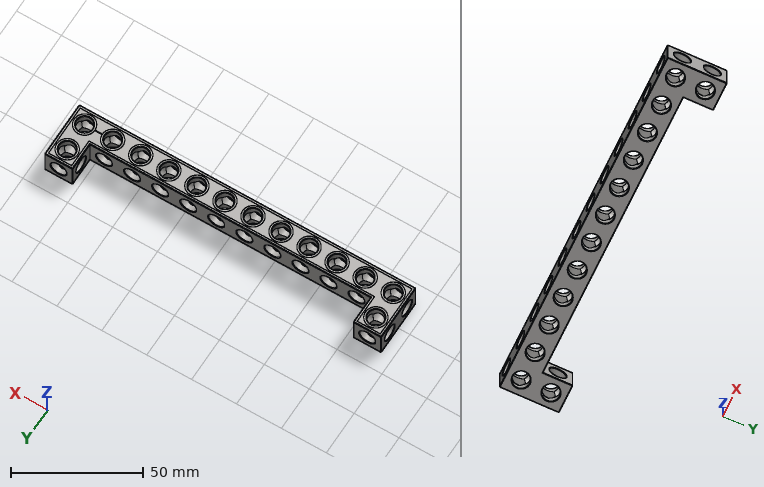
import cadquery as cq

pitch = 12.5
columns = 12
arm_rows = 2
hole_diameter = 7.0

edge_chamfer = 0.3

wall = 1.1
collar_diameter = hole_diameter + 2 * wall
recess_depth = 0.2

groove_width = 0.3
groove_depth = 0.1
groove_length = pitch - collar_diameter

length = columns * pitch
arm_length = arm_rows * pitch
mid_height = pitch / 2


def cell_center(index):
    """Distance from the beam corner to the middle of a grid cell."""
    return (index + 0.5) * pitch


bar_cells = [(column, 0) for column in range(columns)]
arm_cells = [(column, row) for column in (0, columns - 1) for row in range(1, arm_rows)]
upright_points = [(cell_center(column), cell_center(row)) for column, row in bar_cells + arm_cells]


def u_profile(inset, base, height):
    """U-shaped prism: a bar with an arm at each end, shrunk inward by inset."""
    outline = [
        (inset, inset),
        (length - inset, inset),
        (length - inset, arm_length - inset),
        (length - pitch + inset, arm_length - inset),
        (length - pitch + inset, pitch - inset),
        (pitch - inset, pitch - inset),
        (pitch - inset, arm_length - inset),
        (inset, arm_length - inset),
    ]
    return cq.Workplane("XY").workplane(offset=base).polyline(outline).close().extrude(height)


def top_recess():
    """Region removed from the top face between the rim and the collars."""
    base = pitch - recess_depth
    collars = (
        cq.Workplane("XY").workplane(offset=base)
        .pushPoints(upright_points).circle(collar_diameter / 2).extrude(recess_depth)
    )
    return u_profile(wall, base, recess_depth).cut(collars)


def floor_groove():
    """Fine groove running along X across the gap between the last two bar collars."""
    center_x = (columns - 1) * pitch
    floor_height = pitch - recess_depth
    return (
        cq.Workplane("XY").workplane(offset=floor_height - groove_depth)
        .center(center_x, cell_center(0)).rect(groove_length, groove_width).extrude(groove_depth)
    )


def chamfered_hole(start, direction, depth):
    """Round hole cutter with a small conical flare at both mouths."""
    radius = hole_diameter / 2
    flared_radius = radius + edge_chamfer
    half_section = [
        (0, 0),
        (flared_radius, 0),
        (radius, edge_chamfer),
        (radius, depth - edge_chamfer),
        (flared_radius, depth),
        (0, depth),
    ]
    cutter = cq.Workplane("XZ").polyline(half_section).close().revolve(360, (0, 0), (0, 1)).val()
    return cutter.moved(cq.Plane(origin=start, normal=direction).location)


def vertical_holes():
    """Holes along Z through every cell."""
    return [chamfered_hole((x, y, 0), (0, 0, 1), pitch) for x, y in upright_points]


def front_holes():
    """Holes along Y through every column; the end ones run on through the arms."""
    holes = []
    for column in range(columns):
        is_arm_column = column in (0, columns - 1)
        depth = arm_length if is_arm_column else pitch
        holes.append(chamfered_hole((cell_center(column), 0, mid_height), (0, 1, 0), depth))
    return holes


def side_holes():
    """Holes along X: one through the whole bar and one through each arm."""
    holes = [chamfered_hole((0, cell_center(0), mid_height), (1, 0, 0), length)]
    for row in range(1, arm_rows):
        for arm_start in (0, length - pitch):
            holes.append(chamfered_hole((arm_start, cell_center(row), mid_height), (1, 0, 0), pitch))
    return holes


def beam_body():
    """Solid U with every edge chamfered except the two upright edges inside the corners."""
    body = u_profile(0, 0, pitch)
    body = body.edges("|Z and (<Y or >Y)").chamfer(edge_chamfer)
    return body.faces("<Z or >Z").chamfer(edge_chamfer)


result = beam_body().cut(top_recess()).cut(floor_groove())
for hole in vertical_holes() + front_holes() + side_holes():
    result = result.cut(cq.Workplane(obj=hole))